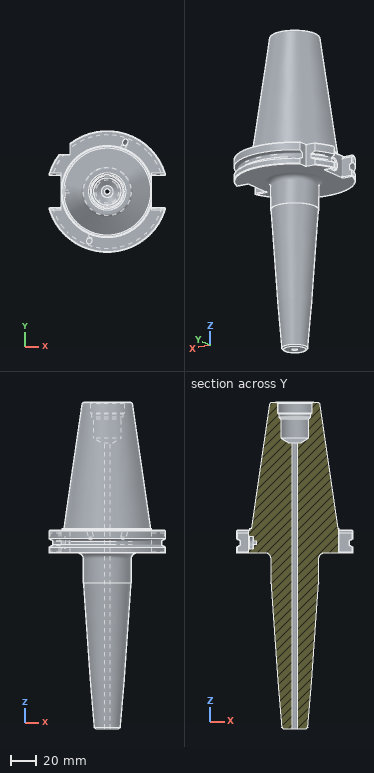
import cadquery as cq
import math

TOTAL_LENGTH = 261.5

GAUGE_RADIUS = 34.8
TAPER_LENGTH = 101.0
TAPER_SLOPE = 7 / 48
TAPER_END_FILLET = 2.4
COLLAR_RADIUS = 36.0
COLLAR_HEIGHT = 1.5
COLLAR_FILLET = 0.8

FLANGE_RADIUS = 48.7
FLANGE_HEIGHT = 18.3
FLANGE_CHAMFER = 0.5
GROOVE_DEPTH = 3.1
GROOVE_WIDTH = 7.0
GROOVE_FLANK_ANGLE = 30.0
GROOVE_FLOOR_FILLET = 0.8
GROOVE_ABOVE_FLANGE_BASE = 8.0

NECK_RADIUS = 19.4
NECK_FILLET = 4.5
NECK_BASE_Z = 117.0
NECK_STEP = 0.3
NOSE_BREAK_Z = 38.2
NOSE_BREAK_RADIUS = 13.5
NOSE_END_RADIUS = 10.5
NOSE_CHAMFER = 1.3

MOUTH_RADIUS = 15.0
MOUTH_CHAMFER_DEPTH = 1.3
PILOT_RADIUS = 13.5
PILOT_DEPTH = 8.6
RELIEF_RADIUS = 12.5
RELIEF_DEPTH = 12.0
THREAD_RADIUS = 11.0
THREAD_END_DEPTH = 28.8
CONE_END_RADIUS = 4.7
CONE_HALF_ANGLE = 59.0
COOLANT_RADIUS = 2.0

SLOT_WIDTH = 25.6
SLOT_TOP_CHAMFER = 2.0
SLOT_BASE_CHAMFER = 0.8
SLOT_MOUTH_CHAMFER = 0.8
SLOT_CORNER_FILLET = 0.8
SLOT_FLOOR_MINUS_X = 37.1
SLOT_FLOOR_PLUS_X = 35.3

NOTCH_X = -29.8
NOTCH_Y = 29.5

CHIP_HOLE_RADIUS = 5.5
CHIP_HOLE_CHAMFER = 0.8
CHIP_HOLE_DEPTH = 4.0
CHIP_CENTER_RADIUS = 1.3
CHIP_CENTER_DEPTH = 2.5
CHIP_ABOVE_FLANGE_BASE = 8.5

FACE_HOLE_X = 14.5
FACE_HOLE_Y = 39.5
FACE_HOLE_RADIUS = 2.0
FACE_HOLE_LENGTH = 7.8
FACE_HOLE_TILT = 35.0

GAUGE_Z = TOTAL_LENGTH - TAPER_LENGTH
FLANGE_TOP_Z = GAUGE_Z - COLLAR_HEIGHT
FLANGE_BASE_Z = FLANGE_TOP_Z - FLANGE_HEIGHT
CHIP_HOLE_Z = FLANGE_BASE_Z + CHIP_ABOVE_FLANGE_BASE
GROOVE_Z = FLANGE_BASE_Z + GROOVE_ABOVE_FLANGE_BASE


def make_body():
    """Revolve the full outer profile, from the nose up to the taper end."""
    taper_end_radius = GAUGE_RADIUS - TAPER_LENGTH * TAPER_SLOPE
    groove_mouth = GROOVE_WIDTH / 2
    groove_floor = groove_mouth - GROOVE_DEPTH * math.tan(math.radians(GROOVE_FLANK_ANGLE))
    groove_radius = FLANGE_RADIUS - GROOVE_DEPTH
    face_radius = FLANGE_RADIUS - FLANGE_CHAMFER
    profile = (
        cq.Workplane("XZ")
        .moveTo(0, 0)
        .lineTo(NOSE_END_RADIUS - NOSE_CHAMFER, 0)
        .lineTo(NOSE_END_RADIUS, NOSE_CHAMFER)
        .lineTo(NOSE_BREAK_RADIUS, NOSE_BREAK_Z)
        .lineTo(NECK_RADIUS - NECK_STEP, NECK_BASE_Z)
        .lineTo(NECK_RADIUS, NECK_BASE_Z)
        .lineTo(NECK_RADIUS, FLANGE_BASE_Z - NECK_FILLET)
        .radiusArc((NECK_RADIUS + NECK_FILLET, FLANGE_BASE_Z), NECK_FILLET)
        .lineTo(face_radius, FLANGE_BASE_Z)
        .lineTo(FLANGE_RADIUS, FLANGE_BASE_Z + FLANGE_CHAMFER)
        .lineTo(FLANGE_RADIUS, GROOVE_Z - groove_mouth)
        .lineTo(groove_radius, GROOVE_Z - groove_floor)
        .lineTo(groove_radius, GROOVE_Z + groove_floor)
        .lineTo(FLANGE_RADIUS, GROOVE_Z + groove_mouth)
        .lineTo(FLANGE_RADIUS, FLANGE_TOP_Z - FLANGE_CHAMFER)
        .lineTo(face_radius, FLANGE_TOP_Z)
        .lineTo(COLLAR_RADIUS + COLLAR_FILLET, FLANGE_TOP_Z)
        .radiusArc((COLLAR_RADIUS, FLANGE_TOP_Z + COLLAR_FILLET), COLLAR_FILLET)
        .lineTo(COLLAR_RADIUS, GAUGE_Z)
        .lineTo(GAUGE_RADIUS, GAUGE_Z)
        .lineTo(taper_end_radius, TOTAL_LENGTH)
        .lineTo(0, TOTAL_LENGTH)
        .close()
    )
    body = profile.revolve(360, (0, 0, 0), (0, 1, 0))
    body = body.faces(">Z").edges().fillet(TAPER_END_FILLET)
    groove_floor_zone = cq.selectors.BoxSelector(
        (-FLANGE_RADIUS, -FLANGE_RADIUS, GROOVE_Z - groove_mouth),
        (FLANGE_RADIUS, FLANGE_RADIUS, GROOVE_Z + groove_mouth),
    )
    floor_edges = body.edges(groove_floor_zone).edges(cq.selectors.RadiusNthSelector(0))
    return floor_edges.fillet(GROOVE_FLOOR_FILLET)


def make_bore():
    """Drawbar bore that narrows into the coolant hole running out of the nose."""
    pilot_end_depth = PILOT_DEPTH + PILOT_RADIUS - RELIEF_RADIUS
    relief_end_depth = RELIEF_DEPTH + RELIEF_RADIUS - THREAD_RADIUS
    cone_depth = (THREAD_RADIUS - CONE_END_RADIUS) / math.tan(math.radians(CONE_HALF_ANGLE))
    cone_end_z = TOTAL_LENGTH - THREAD_END_DEPTH - cone_depth
    return (
        cq.Workplane("XZ")
        .moveTo(0, 0)
        .lineTo(COOLANT_RADIUS, 0)
        .lineTo(COOLANT_RADIUS, cone_end_z)
        .lineTo(CONE_END_RADIUS, cone_end_z)
        .lineTo(THREAD_RADIUS, TOTAL_LENGTH - THREAD_END_DEPTH)
        .lineTo(THREAD_RADIUS, TOTAL_LENGTH - relief_end_depth)
        .lineTo(RELIEF_RADIUS, TOTAL_LENGTH - RELIEF_DEPTH)
        .lineTo(RELIEF_RADIUS, TOTAL_LENGTH - pilot_end_depth)
        .lineTo(PILOT_RADIUS, TOTAL_LENGTH - PILOT_DEPTH)
        .lineTo(PILOT_RADIUS, TOTAL_LENGTH - MOUTH_CHAMFER_DEPTH)
        .lineTo(MOUTH_RADIUS, TOTAL_LENGTH)
        .lineTo(0, TOTAL_LENGTH)
        .close()
        .revolve(360, (0, 0, 0), (0, 1, 0))
    )


def make_slot(side, floor_distance):
    """Driving slot on one X side, with bevels along its mouth and both flange faces."""
    half = SLOT_WIDTH / 2
    top_half = half + SLOT_TOP_CHAMFER
    base_half = half + SLOT_BASE_CHAMFER
    depth = FLANGE_RADIUS - floor_distance
    right_outline = [
        (base_half, FLANGE_BASE_Z),
        (half, FLANGE_BASE_Z + SLOT_BASE_CHAMFER),
        (half, FLANGE_TOP_Z - SLOT_TOP_CHAMFER),
        (top_half, FLANGE_TOP_Z),
        (top_half, GAUGE_Z),
    ]
    left_outline = [(-y, z) for y, z in reversed(right_outline)]
    floor = cq.Workplane("YZ", origin=(side * floor_distance, 0, 0))
    slot = floor.polyline(right_outline + left_outline).close().extrude(side * depth)
    floor_corners = slot.faces("<X" if side > 0 else ">X").edges("|Z")
    wall_corners = cq.selectors.BoxSelector(
        (-FLANGE_RADIUS, -base_half, FLANGE_BASE_Z),
        (FLANGE_RADIUS, base_half, FLANGE_TOP_Z),
    )
    slot = floor_corners.edges(wall_corners).fillet(SLOT_CORNER_FILLET)

    rim_x = math.sqrt(FLANGE_RADIUS**2 - (half + SLOT_MOUTH_CHAMFER) ** 2)
    mouth_x = rim_x - SLOT_MOUTH_CHAMFER
    bevel_half = half + FLANGE_RADIUS - mouth_x
    mouth = (
        cq.Workplane("XY", origin=(0, 0, FLANGE_BASE_Z))
        .polyline([
            (side * mouth_x, -half),
            (side * FLANGE_RADIUS, -bevel_half),
            (side * FLANGE_RADIUS, bevel_half),
            (side * mouth_x, half),
        ])
        .close()
        .extrude(FLANGE_HEIGHT)
    )
    return slot.union(mouth)


def make_notch():
    """Square corner cut through the whole flange height."""
    return (
        cq.Workplane("XY")
        .workplane(offset=FLANGE_BASE_Z)
        .moveTo(NOTCH_X, NOTCH_Y)
        .rect(-FLANGE_RADIUS, FLANGE_RADIUS, centered=False)
        .extrude(FLANGE_HEIGHT)
    )


def make_chip_hole():
    """Stepped blind hole drilled along X from the -X slot floor."""
    floor = cq.Workplane("YZ", origin=(-SLOT_FLOOR_MINUS_X, 0, CHIP_HOLE_Z))
    wide = floor.circle(CHIP_HOLE_RADIUS - CHIP_HOLE_CHAMFER).extrude(CHIP_HOLE_DEPTH)
    rim = floor.circle(CHIP_HOLE_RADIUS).extrude(CHIP_HOLE_CHAMFER, taper=45)
    narrow = floor.circle(CHIP_CENTER_RADIUS).extrude(CHIP_HOLE_DEPTH + CHIP_CENTER_DEPTH)
    return wide.union(rim).union(narrow)


def make_face_hole(side):
    """Blind hole sunk from the upper flange face, tilted inward."""
    tilt = math.radians(FACE_HOLE_TILT)
    distance = math.hypot(FACE_HOLE_X, FACE_HOLE_Y)
    inward = cq.Vector(-side * FACE_HOLE_X, -side * FACE_HOLE_Y, 0) / distance
    axis = inward * math.sin(tilt) - cq.Vector(0, 0, math.cos(tilt))
    mouth = cq.Vector(side * FACE_HOLE_X, side * FACE_HOLE_Y, FLANGE_TOP_Z)
    start = mouth - axis * FACE_HOLE_RADIUS
    length = FACE_HOLE_LENGTH + FACE_HOLE_RADIUS
    return cq.Workplane(cq.Solid.makeCylinder(FACE_HOLE_RADIUS, length, start, axis))


result = (
    make_body()
    .cut(make_bore())
    .cut(make_slot(-1, SLOT_FLOOR_MINUS_X))
    .cut(make_slot(1, SLOT_FLOOR_PLUS_X))
    .cut(make_notch())
    .cut(make_chip_hole())
    .cut(make_face_hole(1))
    .cut(make_face_hole(-1))
)